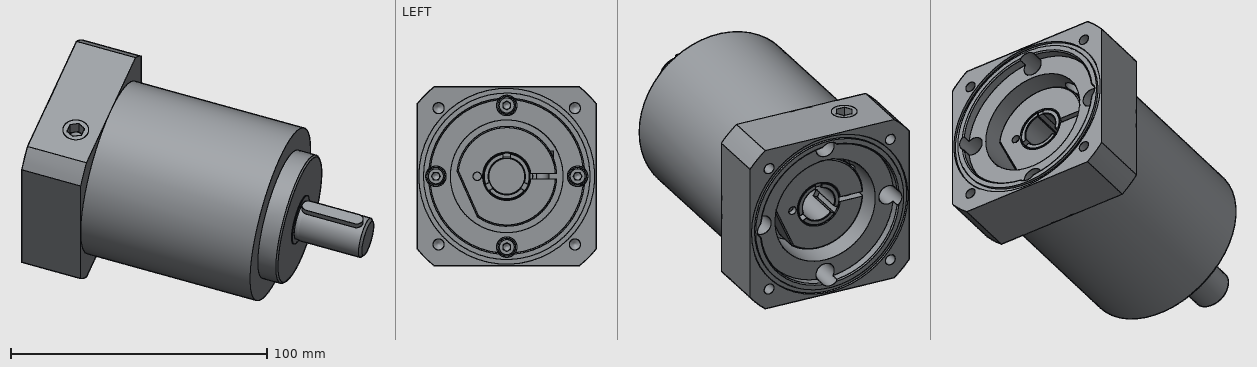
import cadquery as cq
import math


ADAPTER_WIDTH = 70.0
ADAPTER_LENGTH = 24.5
CORNER_DIAMETER = 90.0
SEAL_GROOVE_OUTER = 68.6
SEAL_GROOVE_INNER = 65.0
SEAL_GROOVE_DEPTH = 1.0
PILOT_DIAMETER = 60.0
PILOT_DEPTH = 3.9
PILOT_CHAMFER = 0.5
CLEARANCE_BORE = 44.0
MOTOR_HOLE_DIAMETER = 4.3
MOTOR_HOLE_OFFSET = 26.6
MOTOR_HOLE_DEPTH = 11.8
DRILL_POINT_ANGLE = 118

BOLT_CIRCLE_RADIUS = 27.6
BOLT_COUNT = 4
BOLT_POCKET_DIAMETER = 8.0
BOLT_HEAD_DIAMETER = 7.0
BOLT_HEAD_HEIGHT = 4.0
BOLT_HEAD_CHAMFER = 0.5
BOLT_SEAT_X = 19.6
BOLT_SHANK_DIAMETER = 4.0
BOLT_SHANK_LENGTH = 11.8
BOLT_HEX_WIDTH = 3.0
BOLT_HEX_DEPTH = 2.1

CLAMP_AXIS_X = 14.9
CLAMP_AXIS_Y = -14.0
PLUG_DIAMETER = 10.1
PLUG_LENGTH = 7.9
PLUG_HEX_WIDTH = 6.0
PLUG_HEX_DEPTH = 5.0

HOUSING_DIAMETER = ADAPTER_WIDTH
HOUSING_END_X = 94.7
OUTPUT_PILOT_DIAMETER = 52.0
OUTPUT_PILOT_END_X = 102.8
OUTPUT_PILOT_CHAMFER = 0.7
SEAL_BOSS_DIAMETER = 19.6
SEAL_BOSS_END_X = 103.2

SHAFT_END_X = 131.0
SHAFT_DIAMETER = 16.0
SHAFT_CHAMFER = 1.0
SHAFT_RELIEF_DIAMETER = 15.5
SHAFT_RELIEF_END_X = 104.3
SHAFT_SHOULDER_X = 105.2
KEY_LENGTH = 25.0
KEY_WIDTH = 5.0
KEY_START_X = 103.9
KEY_TOP_Z = 10.0
KEY_HEIGHT = 5.0

HUB_FACE_X = 9.3
HUB_DIAMETER = 39.0
HUB_LENGTH = 2 * (CLAMP_AXIS_X - HUB_FACE_X)
HUB_CHAMFER = 0.5
HUB_NECK_DIAMETER = 20.3
HUB_FLAT_DISTANCE = 16.9
HUB_FLAT_ANGLE = -24
HUB_BORE_DIAMETER = 18.1
HUB_BORE_CHAMFER = 0.4
HUB_SLOT_WIDTH = 2.1
BALANCE_HOLE_DIAMETER = 3.3
BALANCE_HOLE_Y = 11.5
BALANCE_HOLE_DEPTH = 2.6
BUSHING_BORE_DIAMETER = 14.0
BUSHING_CHAMFER = 0.3
BUSHING_BORE_DEPTH = 20.8
BUSHING_SLOT_WIDTH = 2.8
BUSHING_SLOT_DEPTH = ADAPTER_LENGTH - HUB_FACE_X
BUSHING_SLOT_COUNT = 3
BUSHING_LEDGE_Z = 7.6
BUSHING_LEDGE_DEPTH = 0.7

CLAMP_SCREW_DIAMETER = 5.0
CLAMP_HEAD_DIAMETER = 8.5
CLAMP_HEAD_TOP_Z = 9.8
CLAMP_HEAD_HEIGHT = 5.0
CLAMP_SCREW_BOTTOM_Z = -CLAMP_HEAD_TOP_Z


def disk(diameter, start_x, end_x, y=0, z=0):
    """Cylinder along X between two X positions."""
    return (
        cq.Workplane("YZ", origin=(start_x, 0, 0))
        .center(y, z)
        .circle(diameter / 2)
        .extrude(end_x - start_x)
    )


def point_height(diameter):
    """Height of a drill point of the given diameter."""
    return diameter / 2 / math.tan(math.radians(DRILL_POINT_ANGLE / 2))


def cone_along_x(diameter, start_x):
    """Drill point along +X about the X axis."""
    return cq.Workplane(
        cq.Solid.makeCone(
            diameter / 2, 0, point_height(diameter), cq.Vector(start_x, 0, 0), cq.Vector(1, 0, 0)
        )
    )


def countersink(diameter, chamfer, start_x):
    """Cone that chamfers the mouth of a hole opening toward -X."""
    radius = diameter / 2
    return cq.Workplane(
        cq.Solid.makeCone(radius + chamfer, radius, chamfer, cq.Vector(start_x, 0, 0), cq.Vector(1, 0, 0))
    )


def hex_socket(width, depth, start_x):
    """Hexagon socket along +X with corners on Z and a conical bottom."""
    across_corners = 2 * width / math.sqrt(3)
    socket = (
        cq.Workplane("YZ", origin=(start_x, 0, 0))
        .transformed(rotate=(0, 0, 90))
        .polygon(6, across_corners)
        .extrude(depth)
    )
    return socket.union(cone_along_x(width, start_x + depth))


def around_axis(shape, index, count):
    """Copy of a shape at one position of a pattern about the X axis."""
    return shape.rotate((0, 0, 0), (1, 0, 0), index * 360 / count)


def make_bolt():
    """Hexagon socket bolt along X, at the top of the bolt circle."""
    head_x = BOLT_SEAT_X - BOLT_HEAD_HEIGHT
    head = disk(BOLT_HEAD_DIAMETER, head_x, BOLT_SEAT_X).faces("<X").chamfer(BOLT_HEAD_CHAMFER)
    shank = disk(BOLT_SHANK_DIAMETER, BOLT_SEAT_X, BOLT_SEAT_X + BOLT_SHANK_LENGTH)
    bolt = head.union(shank).cut(hex_socket(BOLT_HEX_WIDTH, BOLT_HEX_DEPTH, head_x))
    return bolt.translate((0, 0, BOLT_CIRCLE_RADIUS))


def make_plug():
    """Flush round plug with a hexagon socket, pointing down from the adapter's top face."""
    plug = disk(PLUG_DIAMETER, 0, PLUG_LENGTH).cut(hex_socket(PLUG_HEX_WIDTH, PLUG_HEX_DEPTH, 0))
    upright = plug.rotate((0, 0, 0), (0, 1, 0), 90).rotate((0, 0, 0), (0, 0, 1), 90)
    return upright.translate((CLAMP_AXIS_X, CLAMP_AXIS_Y, ADAPTER_WIDTH / 2))


def make_adapter():
    """Square motor adapter with pilot recess, bolt pockets and plug hole."""
    block = cq.Workplane("YZ").rect(ADAPTER_WIDTH, ADAPTER_WIDTH).extrude(ADAPTER_LENGTH)
    adapter = block.intersect(disk(CORNER_DIAMETER, 0, ADAPTER_LENGTH))

    groove = disk(SEAL_GROOVE_OUTER, 0, SEAL_GROOVE_DEPTH).cut(disk(SEAL_GROOVE_INNER, 0, SEAL_GROOVE_DEPTH))
    pilot = disk(PILOT_DIAMETER, 0, PILOT_DEPTH)
    adapter = adapter.cut(groove).cut(pilot)
    adapter = adapter.cut(countersink(PILOT_DIAMETER, PILOT_CHAMFER, 0))
    adapter = adapter.cut(disk(CLEARANCE_BORE, 0, ADAPTER_LENGTH))

    pocket = disk(BOLT_POCKET_DIAMETER, 0, BOLT_SEAT_X, z=BOLT_CIRCLE_RADIUS)
    shank_hole = disk(BOLT_SHANK_DIAMETER, BOLT_SEAT_X, ADAPTER_LENGTH, z=BOLT_CIRCLE_RADIUS)
    for index in range(BOLT_COUNT):
        adapter = adapter.cut(around_axis(pocket, index, BOLT_COUNT))
        adapter = adapter.cut(around_axis(shank_hole, index, BOLT_COUNT))

    motor_hole = disk(MOTOR_HOLE_DIAMETER, 0, MOTOR_HOLE_DEPTH)
    motor_hole = motor_hole.union(cone_along_x(MOTOR_HOLE_DIAMETER, MOTOR_HOLE_DEPTH))
    for y in (-MOTOR_HOLE_OFFSET, MOTOR_HOLE_OFFSET):
        for z in (-MOTOR_HOLE_OFFSET, MOTOR_HOLE_OFFSET):
            adapter = adapter.cut(motor_hole.translate((0, y, z)))

    access_hole = (
        cq.Workplane("XY")
        .center(CLAMP_AXIS_X, CLAMP_AXIS_Y)
        .circle(PLUG_DIAMETER / 2)
        .extrude(ADAPTER_WIDTH / 2)
    )
    return adapter.cut(access_hole)


def make_housing():
    """Round housing with output pilot and seal boss."""
    housing = disk(HOUSING_DIAMETER, ADAPTER_LENGTH, HOUSING_END_X)
    pilot = disk(OUTPUT_PILOT_DIAMETER, HOUSING_END_X, OUTPUT_PILOT_END_X)
    pilot = pilot.faces(">X").chamfer(OUTPUT_PILOT_CHAMFER)
    boss = disk(SEAL_BOSS_DIAMETER, OUTPUT_PILOT_END_X, SEAL_BOSS_END_X)
    return housing.union(pilot).union(boss)


def make_shaft():
    """Output shaft with a relief behind its shoulder and a chamfered end."""
    relief_radius = SHAFT_RELIEF_DIAMETER / 2
    radius = SHAFT_DIAMETER / 2
    profile = [
        (SEAL_BOSS_END_X, 0),
        (SEAL_BOSS_END_X, relief_radius),
        (SHAFT_RELIEF_END_X, relief_radius),
        (SHAFT_SHOULDER_X, radius),
        (SHAFT_END_X - SHAFT_CHAMFER, radius),
        (SHAFT_END_X, radius - SHAFT_CHAMFER),
        (SHAFT_END_X, 0),
    ]
    return cq.Workplane("XY").polyline(profile).close().revolve(360, (0, 0), (1, 0))


def make_key():
    """Round-ended parallel key on top of the shaft."""
    return (
        cq.Workplane("XY", origin=(KEY_START_X + KEY_LENGTH / 2, 0, KEY_TOP_Z))
        .slot2D(KEY_LENGTH, KEY_WIDTH)
        .extrude(-KEY_HEIGHT)
    )


def make_hub():
    """Slotted clamping hub on a neck, with its flat, balance hole, clamping screw and bushing."""
    hub_end = HUB_FACE_X + HUB_LENGTH
    hub = disk(HUB_DIAMETER, HUB_FACE_X, hub_end)
    flat_cut = (
        cq.Workplane("YZ", origin=(HUB_FACE_X, 0, 0))
        .transformed(rotate=(0, 0, HUB_FLAT_ANGLE))
        .center(HUB_FLAT_DISTANCE + HUB_DIAMETER / 2, 0)
        .rect(HUB_DIAMETER, HUB_DIAMETER)
        .extrude(HUB_LENGTH)
    )
    hub = hub.cut(flat_cut).faces("<X").chamfer(HUB_CHAMFER)
    slot = (
        cq.Workplane("YZ", origin=(HUB_FACE_X, -HUB_DIAMETER / 2, 0))
        .rect(HUB_DIAMETER, HUB_SLOT_WIDTH)
        .extrude(HUB_LENGTH)
    )
    hub = hub.cut(slot)
    hub = hub.cut(
        disk(BALANCE_HOLE_DIAMETER, HUB_FACE_X, HUB_FACE_X + BALANCE_HOLE_DEPTH, y=BALANCE_HOLE_Y)
    )
    hub = hub.union(make_clamp_screw())
    hub = hub.union(disk(HUB_NECK_DIAMETER, hub_end, ADAPTER_LENGTH))

    hub = hub.cut(disk(HUB_BORE_DIAMETER, HUB_FACE_X, ADAPTER_LENGTH))
    hub = hub.cut(countersink(HUB_BORE_DIAMETER, HUB_BORE_CHAMFER, HUB_FACE_X))
    return hub.union(make_bushing())


def make_bushing():
    """Bushing filling the hub bore, with three slots through its wall and a ledge in the top slot."""
    bushing = disk(HUB_BORE_DIAMETER, HUB_FACE_X, ADAPTER_LENGTH)
    bushing = bushing.faces("<X").chamfer(BUSHING_CHAMFER)
    bushing = bushing.cut(countersink(BUSHING_BORE_DIAMETER, BUSHING_CHAMFER, HUB_FACE_X))
    slot_height = HUB_BORE_DIAMETER / 2
    slot = (
        cq.Workplane("YZ", origin=(HUB_FACE_X, 0, slot_height / 2))
        .rect(BUSHING_SLOT_WIDTH, slot_height)
        .extrude(BUSHING_SLOT_DEPTH)
    )
    ledge_height = slot_height - BUSHING_LEDGE_Z
    ledge = (
        cq.Workplane("YZ", origin=(HUB_FACE_X + BUSHING_LEDGE_DEPTH, 0, BUSHING_LEDGE_Z + ledge_height / 2))
        .rect(BUSHING_SLOT_WIDTH, ledge_height)
        .extrude(BUSHING_SLOT_DEPTH - BUSHING_LEDGE_DEPTH)
    )
    for index in range(BUSHING_SLOT_COUNT):
        bushing = bushing.cut(around_axis(slot, index, BUSHING_SLOT_COUNT))
    return bushing.union(ledge)


def make_clamp_screw():
    """Clamping screw along Z, crossing the hub slot."""
    axis = cq.Workplane("XY", origin=(CLAMP_AXIS_X, CLAMP_AXIS_Y, CLAMP_HEAD_TOP_Z))
    head = axis.circle(CLAMP_HEAD_DIAMETER / 2).extrude(-CLAMP_HEAD_HEIGHT)
    shank = axis.circle(CLAMP_SCREW_DIAMETER / 2).extrude(CLAMP_SCREW_BOTTOM_Z - CLAMP_HEAD_TOP_Z)
    return head.union(shank)


def make_gearbox():
    """Gearbox body: housing with shaft, key and hub, bored for the motor shaft and the bolts."""
    gearbox = make_housing().union(make_shaft()).union(make_key()).union(make_hub())
    gearbox = gearbox.cut(disk(BUSHING_BORE_DIAMETER, HUB_FACE_X, HUB_FACE_X + BUSHING_BORE_DEPTH))
    bolt_end = BOLT_SEAT_X + BOLT_SHANK_LENGTH
    bolt_hole = disk(BOLT_SHANK_DIAMETER, ADAPTER_LENGTH, bolt_end, z=BOLT_CIRCLE_RADIUS)
    for index in range(BOLT_COUNT):
        gearbox = gearbox.cut(around_axis(bolt_hole, index, BOLT_COUNT))
    return gearbox


gearbox = make_gearbox()
adapter = make_adapter()
plug = make_plug()
bolts = [around_axis(make_bolt(), index, BOLT_COUNT) for index in range(BOLT_COUNT)]

result = cq.Compound.makeCompound(
    [gearbox.val(), adapter.val(), plug.val(), *[bolt.val() for bolt in bolts]]
)